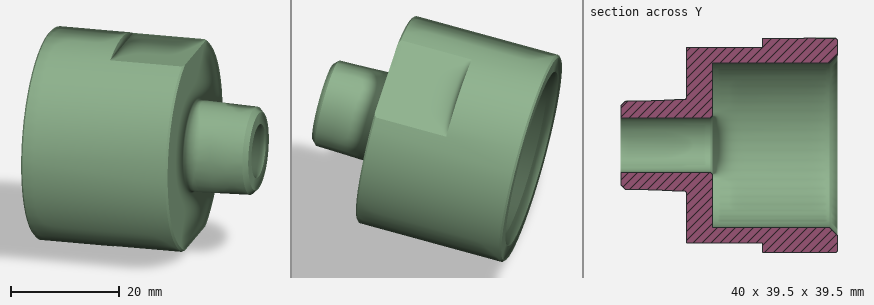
import cadquery as cq

total_length = 40.0
body_length = 27.9
body_diameter = 39.5
body_chamfer = 0.35

flat_start = body_length / 2
across_flats = 36.0

spigot_diameter = 16.9
collar_length = 2.0
taper_ratio = 1 / 16
end_chamfer = 0.9
root_fillet = 0.35

socket_diameter = 30.3
socket_mouth_diameter = 33.3
socket_depth = 23.0
hole_diameter = 10.0
hole_chamfer = 0.4

body_radius = body_diameter / 2
spigot_radius = spigot_diameter / 2
socket_radius = socket_diameter / 2
socket_mouth_radius = socket_mouth_diameter / 2
socket_mouth_chamfer = socket_mouth_radius - socket_radius
hole_radius = hole_diameter / 2


def revolve_about_x(profile):
    """Revolve a closed half profile, drawn as (x, radius), about the X axis."""
    return profile.close().revolve(360, (0, 0, 0), (1, 0, 0))


def make_outside():
    """Chamfered body and tapered spigot in one solid of revolution."""
    collar_end = body_length + collar_length
    taper_end = total_length - end_chamfer
    taper_end_radius = spigot_radius - (taper_end - collar_end) * taper_ratio / 2
    profile = (
        cq.Workplane("XY")
        .lineTo(0, body_radius - body_chamfer)
        .lineTo(body_chamfer, body_radius)
        .lineTo(body_length - body_chamfer, body_radius)
        .lineTo(body_length, body_radius - body_chamfer)
        .lineTo(body_length, spigot_radius + root_fillet)
        .radiusArc((body_length + root_fillet, spigot_radius), -root_fillet)
        .lineTo(collar_end, spigot_radius)
        .lineTo(taper_end, taper_end_radius)
        .lineTo(total_length, taper_end_radius - end_chamfer)
        .lineTo(total_length, 0)
    )
    return revolve_about_x(profile)


def make_bore():
    """Socket with a chamfered mouth, and the through hole with a chamfered entry."""
    profile = (
        cq.Workplane("XY")
        .lineTo(0, socket_mouth_radius)
        .lineTo(socket_mouth_chamfer, socket_radius)
        .lineTo(socket_depth, socket_radius)
        .lineTo(socket_depth, hole_radius + hole_chamfer)
        .lineTo(socket_depth + hole_chamfer, hole_radius)
        .lineTo(total_length, hole_radius)
        .lineTo(total_length, 0)
    )
    return revolve_about_x(profile)


def make_flat_cutter(side):
    """Block removing the body beyond one wrench flat; side is +1 or -1 along Z."""
    cut_length = body_length - flat_start
    cut_height = body_diameter - across_flats
    center_x = flat_start + cut_length / 2
    center_z = side * (across_flats + cut_height) / 2
    return cq.Workplane("XY").box(cut_length, body_diameter, cut_height).translate((center_x, 0, center_z))


result = make_outside().cut(make_bore())
for side in (1, -1):
    result = result.cut(make_flat_cutter(side))